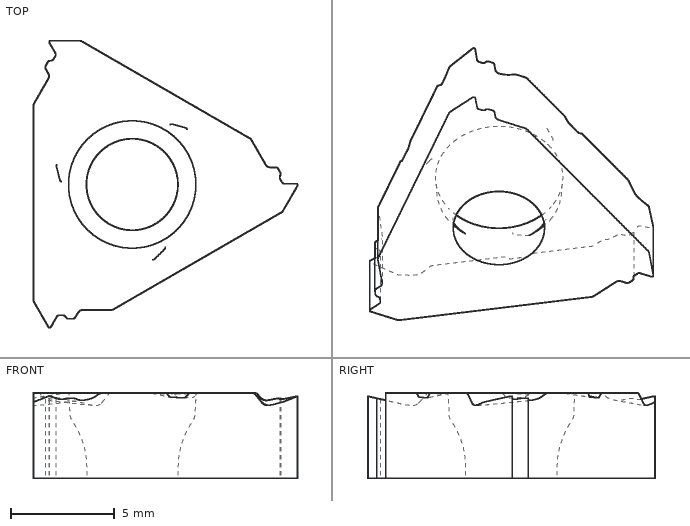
import cadquery as cq
import math

HEIGHT = 4.11
INSCRIBED_RADIUS = 4.7625
CORNER_COUNT = 3
SHOULDER_DISTANCE = 6.05
LEG_DISTANCE = 6.932
FLANK_OFFSET = 0.045
CREST_FLANK_OFFSET = 0.83
VALLEY_DISTANCE = 6.307
CREST_DISTANCE = 6.473
STEP_MIDDLE_X = -3.2

BODY_EDGE_ROUND = 0.25
TIP_ROUND = 0.08
VALLEY_ROUND = 0.1
STEP_ROUND = 0.15
SHOULDER_ROUND = 0.26

BORE_RADIUS = 2.2
SEAT_RIM_RADIUS = 3.07
SEAT_FOOT_RADIUS = 3.01
SEAT_WALL_DEPTH = 1.04
SEAT_ARC_TOP_RADIUS = 2.92
SEAT_ARC_TOP_DEPTH = 1.3
SEAT_ARC_END_DEPTH = 3.58

GROOVE_TOP_X = 5.947
GROOVE_WALL_ANGLE = 52.0
GROOVE_WALL_DEPTH = 0.32
GROOVE_ARC_RADIUS = 0.33
RAKE_ANGLE = 11.2
GROOVE_RUN = (0.044, -1.0, -0.1)
RUNOUT_Y = -1.24
RUNOUT_RUN_X = 0.0
RUNOUT_RAKE_ANGLE = 4.0
GROOVE_EDGE_ROUND = 0.18
GROOVE_REACH = 4.0
GROOVE_WIDTH = 4.0
CLEARANCE = 1.0

NOTCH_ANGLE = 14.5
NOTCH_CENTER_Y = 0.23
NOTCH_FLOOR_WIDTH = 0.645
NOTCH_DEPTH = 0.22
NOTCH_LENGTH = 1.27
NOTCH_RISE = 0.15
NOTCH_FLOOR_ROUND = 0.2
NOTCH_WALL_ANGLE = 45.0
NOTCH_END_ANGLE = 45.0
NOTCH_EDGE_ROUND = 0.1

TOUCHING = 1e-4


def turned(x, y, degrees):
    """The point (x, y) turned about the hole axis."""
    c = math.cos(math.radians(degrees))
    s = math.sin(math.radians(degrees))
    return (c * x - s * y, s * x + c * y)


def crossing(line_a, line_b):
    """Where two lines meet, each given as (direction of its normal in degrees, distance)."""
    (angle_a, dist_a), (angle_b, dist_b) = line_a, line_b
    ca, sa = math.cos(math.radians(angle_a)), math.sin(math.radians(angle_a))
    cb, sb = math.cos(math.radians(angle_b)), math.sin(math.radians(angle_b))
    det = ca * sb - sa * cb
    return ((dist_a * sb - sa * dist_b) / det, (ca * dist_b - dist_a * cb) / det)


def rounded_outline(corners):
    """Closed wire through (x, y, radius) corners, each rounded by a tangent arc."""
    arcs = []
    for i, (x, y, radius) in enumerate(corners):
        here = cq.Vector(x, y)
        before = (cq.Vector(*corners[i - 1][:2]) - here).normalized()
        after = (cq.Vector(*corners[(i + 1) % len(corners)][:2]) - here).normalized()
        half_angle = before.getAngle(after) / 2
        tangent = radius / math.tan(half_angle)
        to_arc = radius / math.sin(half_angle) - radius
        middle = here + (before + after).normalized() * to_arc
        arcs.append((here + before * tangent, middle, here + after * tangent))
    outline = cq.Workplane("XY").moveTo(arcs[0][2].x, arcs[0][2].y)
    for start, middle, end in arcs[1:] + arcs[:1]:
        outline = outline.lineTo(start.x, start.y)
        outline = outline.threePointArc((middle.x, middle.y), (end.x, end.y))
    return outline.close()


def tooth_corners():
    """Outline corners of the lower left tooth, from the left side to the lower right side.

    Each straight stretch is given by the direction of its normal and its distance from the hole axis.
    The tooth flanks meet the leg at 60 degrees."""
    left_side = (180, INSCRIBED_RADIUS)
    right_side = (-60, INSCRIBED_RADIUS)
    leg = (-150, LEG_DISTANCE)
    flank = (-30, FLANK_OFFSET)
    crest_flank = (-30, CREST_FLANK_OFFSET)
    valley = (-90, VALLEY_DISTANCE)
    crest = (-90, CREST_DISTANCE)
    shoulder = (-90, SHOULDER_DISTANCE)
    step_middle_y = -(VALLEY_DISTANCE + CREST_DISTANCE) / 2
    step_angle = -150
    step_normal = math.radians(step_angle)
    step = (step_angle, STEP_MIDDLE_X * math.cos(step_normal) + step_middle_y * math.sin(step_normal))
    return [
        (*crossing(left_side, leg), BODY_EDGE_ROUND),
        (*crossing(leg, flank), TIP_ROUND),
        (*crossing(flank, valley), VALLEY_ROUND),
        (*crossing(valley, step), STEP_ROUND),
        (*crossing(step, crest), STEP_ROUND),
        (*crossing(crest, crest_flank), STEP_ROUND),
        (*crossing(crest_flank, shoulder), SHOULDER_ROUND),
        (*crossing(shoulder, right_side), BODY_EDGE_ROUND),
    ]


def make_body():
    corners = []
    for i in range(CORNER_COUNT):
        turn = i * 360 / CORNER_COUNT
        corners += [(*turned(x, y, turn), radius) for x, y, radius in tooth_corners()]
    return rounded_outline(corners).extrude(HEIGHT)


def make_screw_hole():
    """Tapered seat wall, small concave round, and an arc that runs tangent into the bore."""
    arc_drop = SEAT_ARC_END_DEPTH - SEAT_ARC_TOP_DEPTH
    arc_width = SEAT_ARC_TOP_RADIUS - BORE_RADIUS
    arc_radius = (arc_width**2 + arc_drop**2) / (2 * arc_width)
    half_turn = math.asin(arc_drop / arc_radius) / 2
    arc_middle = (
        BORE_RADIUS + arc_radius * (1 - math.cos(half_turn)),
        HEIGHT - SEAT_ARC_END_DEPTH + arc_radius * math.sin(half_turn),
    )
    return (
        cq.Workplane("XZ")
        .moveTo(0, 0)
        .lineTo(BORE_RADIUS, 0)
        .lineTo(BORE_RADIUS, HEIGHT - SEAT_ARC_END_DEPTH)
        .threePointArc(arc_middle, (SEAT_ARC_TOP_RADIUS, HEIGHT - SEAT_ARC_TOP_DEPTH))
        .tangentArcPoint((SEAT_FOOT_RADIUS, HEIGHT - SEAT_WALL_DEPTH), relative=False)
        .lineTo(SEAT_RIM_RADIUS, HEIGHT)
        .lineTo(0, HEIGHT)
        .close()
        .revolve(360, (0, 0), (0, 1))
    )


def groove_prism(y, shift, run, rake_angle):
    """Groove section at the given y, swept both ways along run.

    shift is the (x, z) offset of the section from its place at y = 0."""
    wall = math.radians(GROOVE_WALL_ANGLE)
    rake = math.radians(rake_angle)
    slope = math.tan(wall)
    arc_x = GROOVE_TOP_X + GROOVE_WALL_DEPTH / slope + shift[0]
    arc_z = HEIGHT - GROOVE_WALL_DEPTH + shift[1]
    center_x = arc_x + GROOVE_ARC_RADIUS * math.sin(wall)
    center_z = arc_z + GROOVE_ARC_RADIUS * math.cos(wall)
    end_x = center_x + GROOVE_ARC_RADIUS * math.sin(rake)
    end_z = center_z - GROOVE_ARC_RADIUS * math.cos(rake)
    top_z = HEIGHT + CLEARANCE
    rake_rise = GROOVE_WIDTH * math.tan(rake)
    back = cq.Vector(*run) * -GROOVE_REACH
    points = [
        (arc_x - (top_z - arc_z) / slope, top_z),
        (arc_x, arc_z),
        (center_x, center_z - GROOVE_ARC_RADIUS),
        (end_x, end_z),
        (end_x + GROOVE_WIDTH, end_z + rake_rise),
        (end_x + GROOVE_WIDTH, top_z),
    ]
    top, wall_end, bottom, arc_end, outer, outer_top = [cq.Vector(px, y, pz) + back for px, pz in points]
    wire = cq.Wire.assembleEdges([
        cq.Edge.makeLine(top, wall_end),
        cq.Edge.makeThreePointArc(wall_end, bottom, arc_end),
        cq.Edge.makeLine(arc_end, outer),
        cq.Edge.makeLine(outer, outer_top),
        cq.Edge.makeLine(outer_top, top),
    ])
    return cq.Workplane(cq.Solid.extrudeLinear(wire, [], back * -2))


def make_groove():
    """Groove that descends towards the tooth leg and levels off near the side face."""
    run_x, run_y, run_z = GROOVE_RUN
    slope = math.tan(math.radians(GROOVE_WALL_ANGLE))
    runout_z = run_z + slope * (run_x - RUNOUT_RUN_X)
    travel = RUNOUT_Y / run_y
    main = groove_prism(0, (0, 0), GROOVE_RUN, RAKE_ANGLE)
    runout = groove_prism(
        RUNOUT_Y, (run_x * travel, run_z * travel), (RUNOUT_RUN_X, run_y, runout_z), RUNOUT_RAKE_ANGLE
    )
    return main.intersect(runout)


def make_notch():
    """Open notch whose floor rises from the side face inwards, with a short steep end."""
    wall = math.radians(NOTCH_WALL_ANGLE)
    half_floor = NOTCH_FLOOR_WIDTH / 2
    round_x = half_floor + NOTCH_FLOOR_ROUND * math.sin(wall)
    round_z = NOTCH_FLOOR_ROUND * (1 - math.cos(wall))
    round_mid_x = half_floor + NOTCH_FLOOR_ROUND * math.sin(wall / 2)
    round_mid_z = NOTCH_FLOOR_ROUND * (1 - math.cos(wall / 2))
    top_x = round_x + (CLEARANCE - round_z) / math.tan(wall)
    outside = CLEARANCE
    section = (
        cq.Workplane("YZ", origin=(-outside, 0, -NOTCH_DEPTH - outside * NOTCH_RISE))
        .moveTo(-half_floor, 0)
        .lineTo(half_floor, 0)
        .threePointArc((round_mid_x, round_mid_z), (round_x, round_z))
        .lineTo(top_x, CLEARANCE)
        .lineTo(-top_x, CLEARANCE)
        .lineTo(-round_x, round_z)
        .threePointArc((-round_mid_x, round_mid_z), (-half_floor, 0))
        .close()
    )
    length = NOTCH_LENGTH + 2 * outside
    path = cq.Vector(length, 0, length * NOTCH_RISE)
    channel = cq.Workplane(cq.Solid.extrudeLinear(section.wires().val(), [], path))
    end_run = CLEARANCE / math.tan(math.radians(NOTCH_END_ANGLE))
    side_profile = (
        cq.Workplane("XZ")
        .moveTo(-outside, -CLEARANCE)
        .lineTo(NOTCH_LENGTH - end_run, -CLEARANCE)
        .lineTo(NOTCH_LENGTH + end_run, CLEARANCE)
        .lineTo(-outside, CLEARANCE)
        .close()
        .extrude(2 * top_x, both=True)
    )
    notch = channel.intersect(side_profile)
    notch = notch.rotate((0, 0, 0), (0, 0, 1), NOTCH_ANGLE)
    return notch.translate((-INSCRIBED_RADIUS, NOTCH_CENTER_Y, HEIGHT))


def around(feature):
    """The feature at each of the three corners or sides."""
    return [feature.rotate((0, 0, 0), (0, 0, 1), i * 360 / CORNER_COUNT) for i in range(CORNER_COUNT)]


def with_rounded_rim(feature, body, radius):
    """What the feature removes from the body once its edges on the top face are rounded."""
    cut = body.cut(feature)
    rim = [
        edge
        for edge in cut.faces(">Z").edges().vals()
        if feature.val().distance(cq.Vertex.makeVertex(*edge.Center().toTuple())) < TOUCHING
    ]
    return body.cut(cut.newObject(rim).fillet(radius))


body = make_body()
groove = with_rounded_rim(make_groove(), body, GROOVE_EDGE_ROUND)
notch = with_rounded_rim(make_notch(), body, NOTCH_EDGE_ROUND)
result = body.cut(make_screw_hole())
for feature in around(groove) + around(notch):
    result = result.cut(feature)